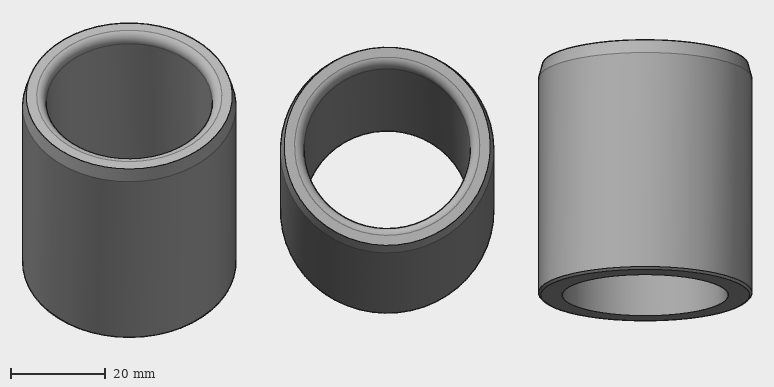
import cadquery as cq
import math

length = 50.0
outer_diameter = 45.0
bore_diameter = 35.0

taper_height = 3.0
taper_angle = 15.0
taper_depth = taper_height * math.tan(math.radians(taper_angle))

bore_mouth_radius = 2.0
bottom_chamfer = 0.5

outer_radius = outer_diameter / 2
bore_radius = bore_diameter / 2


def bushing_body():
    """Revolve the wall section, including the top taper and bottom chamfer."""
    section = (
        cq.Workplane("XZ")
        .moveTo(bore_radius, 0)
        .lineTo(outer_radius - bottom_chamfer, 0)
        .lineTo(outer_radius, bottom_chamfer)
        .lineTo(outer_radius, length - taper_height)
        .lineTo(outer_radius - taper_depth, length)
        .lineTo(bore_radius + bore_mouth_radius, length)
        .radiusArc((bore_radius, length - bore_mouth_radius), -bore_mouth_radius)
        .close()
    )
    return section.revolve(360, (0, 0, 0), (0, 1, 0))


result = bushing_body()